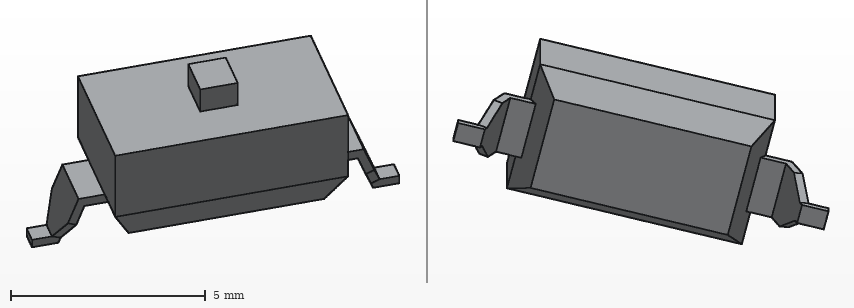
import cadquery as cq
import math

body_width = 3.48
body_length = 6.21
seam_z = 1.71
body_top_z = 3.68
base_bottom_z = 0.71
base_inset = 0.5

button_width = 1.11
button_length = 1.0
button_top_z = 4.4

overall_length = 9.8
lead_width = 1.51
foot_width = 0.51
foot_thickness = 0.245
arm_thickness = 0.26
foot_top_length = 0.53
foot_bottom_length = 0.71
knee_top_offset = 1.1
knee_bottom_offset = 1.25
taper_length = 0.78
arm_embed = 0.29


def housing():
    block = (
        cq.Workplane("XY", origin=(0, 0, seam_z))
        .rect(body_width, body_length)
        .extrude(body_top_z - seam_z)
    )
    base = (
        cq.Workplane("XY", origin=(0, 0, base_bottom_z))
        .rect(body_width - 2 * base_inset, body_length - 2 * base_inset)
        .workplane(offset=seam_z - base_bottom_z)
        .rect(body_width, body_length)
        .loft(ruled=True)
    )
    return block.union(base)


def button():
    return (
        cq.Workplane("XY", origin=(0, 0, body_top_z))
        .rect(button_width, button_length)
        .extrude(button_top_z - body_top_z)
    )


def front_lead():
    """Lead on the -Y end: a bent strip trimmed to a tapered outline square to its slope."""
    tip_y = -overall_length / 2
    arm_end_y = -body_length / 2 + arm_embed
    foot_bend_y = tip_y + foot_top_length
    knee_y = tip_y + knee_top_offset

    side_profile = [
        (tip_y, 0),
        (tip_y, foot_thickness),
        (foot_bend_y, foot_thickness),
        (knee_y, seam_z),
        (arm_end_y, seam_z),
        (arm_end_y, seam_z - arm_thickness),
        (tip_y + knee_bottom_offset, seam_z - arm_thickness),
        (tip_y + foot_bottom_length, 0),
    ]
    strip = cq.Workplane("YZ").polyline(side_profile).close().extrude(lead_width / 2, both=True)

    slope_run = knee_y - foot_bend_y
    slope_rise = seam_z - foot_thickness
    slope_plane = cq.Plane(
        origin=(0, foot_bend_y, foot_thickness),
        xDir=(1, 0, 0),
        normal=(0, -slope_rise, slope_run),
    )
    reach = math.hypot(overall_length / 2, seam_z)
    outline = [
        (-foot_width / 2, -reach),
        (foot_width / 2, -reach),
        (foot_width / 2, 0),
        (lead_width / 2, taper_length),
        (lead_width / 2, reach),
        (-lead_width / 2, reach),
        (-lead_width / 2, taper_length),
        (-foot_width / 2, 0),
    ]
    trim = cq.Workplane(slope_plane).polyline(outline).close().extrude(reach, both=True)
    return strip.intersect(trim)


lead = front_lead()
result = housing().union(button()).union(lead).union(lead.mirror("XZ"))